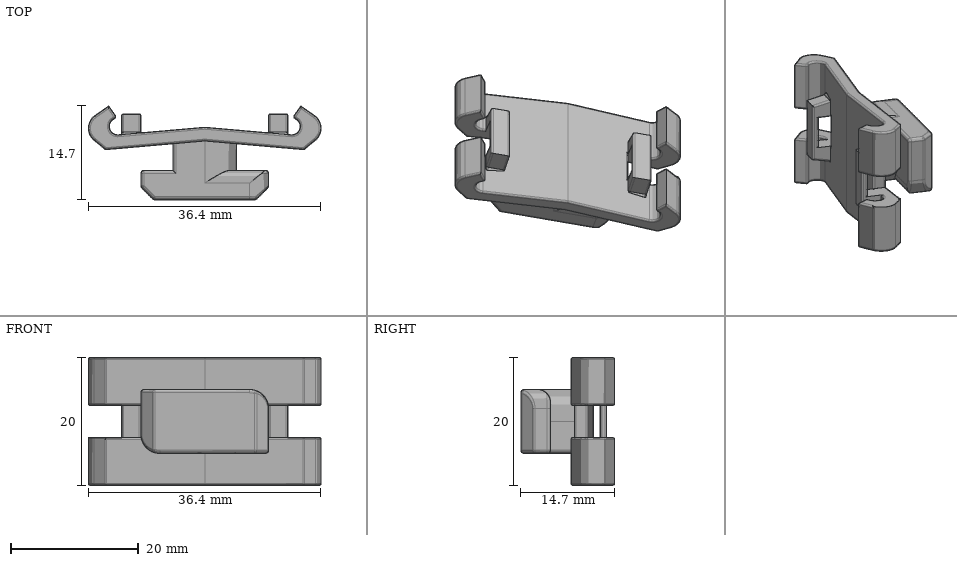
import cadquery as cq
import math

length = 36.4
height = 20.0
strip_front_y = 9.2
strip_back_y = 11.35
strip_angle = 5.0
strip_edge_radius = 0.3

hook_corner_x = -15.5
hook_tip_angle = 35.0
hook_tip_x = -15.05
hook_tip_y = 14.67
hook_tip_width = 2.1
hook_outer_vertex_x = -19.75
hook_cavity_radius = 1.3

slot_half_height = 2.5
slot_inner_x = 10.0
sharp_rim_back_y = 13.03

handle_width = 3.0
handle_back_y = 13.43
handle_thickness = 1.02
handle_half_height = 4.5
handle_slope = 12.0
handle_foot_y = 10.6
handle_edge_radius = 0.3

head_length = 20.0
head_height = 10.0
head_thickness = 4.62
head_bevel = 2.0
head_corner_radius = 3.0
head_back_radius = 2.0
lock_edge_radius = 0.5

head_half_length = head_length / 2
head_half_height = head_height / 2
neck_width = head_height


def slope(angle):
    return math.tan(math.radians(angle))


hook_inner_tip_x = hook_tip_x + hook_tip_width * math.sin(math.radians(hook_tip_angle))
hook_inner_tip_y = hook_tip_y - hook_tip_width * math.cos(math.radians(hook_tip_angle))


def half_strip():
    """The -X half of the strip with its hook, before the edges are rounded."""
    corner_y = strip_front_y + hook_corner_x * slope(strip_angle)
    outer_vertex_y = hook_tip_y + (hook_outer_vertex_x - hook_tip_x) * slope(hook_tip_angle)
    root_x = (hook_inner_tip_y - hook_inner_tip_x * slope(hook_tip_angle) - strip_back_y) / (
        slope(strip_angle) - slope(hook_tip_angle)
    )
    root_y = strip_back_y + root_x * slope(strip_angle)
    outline = [
        (0, strip_front_y),
        (hook_corner_x, corner_y),
        (hook_outer_vertex_x, outer_vertex_y),
        (hook_tip_x, hook_tip_y),
        (hook_inner_tip_x, hook_inner_tip_y),
        (root_x, root_y),
        (0, strip_back_y),
    ]
    body = cq.Workplane("XY").workplane(offset=-height / 2).polyline(outline).close()
    body = body.extrude(height)
    lower_angle = math.atan2(corner_y - outer_vertex_y, hook_corner_x - hook_outer_vertex_x)
    tip_angle = math.radians(hook_tip_angle)
    half_opening = (tip_angle - lower_angle) / 2
    middle_angle = (tip_angle + lower_angle) / 2
    setback_per_radius = math.cos(middle_angle) / math.sin(half_opening) - 1
    outer_radius = (-length / 2 - hook_outer_vertex_x) / setback_per_radius
    outer_bend = cq.NearestToPointSelector((hook_outer_vertex_x, outer_vertex_y, 0))
    cavity_root = cq.NearestToPointSelector((root_x, root_y, 0))
    body = body.edges(outer_bend).fillet(outer_radius)
    return body.edges(cavity_root).fillet(hook_cavity_radius)


def box(x_range, y_range, z_range):
    size = [high - low for low, high in (x_range, y_range, z_range)]
    corner = cq.Vector(x_range[0], y_range[0], z_range[0])
    return cq.Workplane("XY").box(*size, centered=False).translate(corner)


position_tolerance = 0.001


def near(a, b):
    return math.isclose(a, b, abs_tol=position_tolerance)


def is_rounded_strip_edge(edge):
    """Rims of the level faces, and the upright edges at the hook and the opening."""
    center = edge.Center()
    if near(edge.tangentAt(0).z, 0):
        return not near(center.x, 0) and not near(center.x, -slot_inner_x)
    upright_places = (-slot_inner_x, hook_corner_x, hook_inner_tip_x)
    return any(near(center.x, place) for place in upright_places)


def make_strip():
    opening = box(
        (hook_outer_vertex_x, -slot_inner_x),
        (0, hook_tip_y),
        (-slot_half_height, slot_half_height),
    )
    sharp_half = half_strip().cut(opening)
    rounded_edges = [edge for edge in sharp_half.edges().vals() if is_rounded_strip_edge(edge)]
    half = sharp_half.newObject(rounded_edges).fillet(strip_edge_radius)
    strip = half.union(half.mirror("YZ"))
    sharp_rim = sharp_half.intersect(
        box(
            (hook_outer_vertex_x, hook_corner_x),
            (0, sharp_rim_back_y),
            (-slot_half_height - strip_edge_radius, -slot_half_height),
        )
    )
    return strip.union(sharp_rim)


def make_handle():
    """Bracket on the -X side, sunk into the strip above and below the opening."""
    front_y = handle_back_y - handle_thickness
    buried_y = strip_front_y
    foot_height = handle_half_height + (handle_back_y - handle_foot_y) * slope(handle_slope)
    buried_height = foot_height + handle_foot_y - buried_y
    profile = [
        (buried_y, buried_height),
        (handle_foot_y, foot_height),
        (handle_back_y, handle_half_height),
        (handle_back_y, -handle_half_height),
        (handle_foot_y, -foot_height),
        (buried_y, -buried_height),
    ]
    outer_x = -slot_inner_x - handle_width
    handle = cq.Workplane("YZ").workplane(offset=outer_x).polyline(profile).close()
    handle = handle.extrude(handle_width)
    handle = handle.faces("<X or >X").edges("not <Y").fillet(handle_edge_radius)
    window = box(
        (outer_x, -slot_inner_x), (0, front_y), (-slot_half_height, slot_half_height)
    )
    handle = handle.cut(window)
    for edge_x in (outer_x, -slot_inner_x):
        edge = cq.NearestToPointSelector((edge_x, front_y, 0))
        handle = handle.edges(edge).fillet(handle_edge_radius)
    return handle


def half_head():
    """The -X half of the head: its lower corner and lower back edge are rounded off."""
    outline = [
        (0, 0),
        (head_bevel - head_half_length, 0),
        (-head_half_length, head_bevel),
        (-head_half_length, head_thickness),
        (0, head_thickness),
    ]
    head = cq.Workplane("XY").workplane(offset=-head_half_height).polyline(outline).close()
    head = head.extrude(head_height)
    corner_mask = (
        cq.Workplane("XZ")
        .rect(head_length, head_height)
        .extrude(-head_thickness)
        .edges("|Y and <X and <Z")
        .fillet(head_corner_radius)
    )
    head = head.intersect(corner_mask)
    rounded = [edge for edge in head.edges().vals() if not near(edge.Center().x, 0)]
    head = head.newObject(rounded).fillet(lock_edge_radius)
    back_mask = box(
        (-head_half_length, 0), (0, head_thickness), (-head_half_height, head_half_height)
    )
    back_mask = back_mask.edges(">Y and <Z").fillet(head_back_radius)
    return head.intersect(back_mask)


def make_neck():
    start_y = head_bevel
    end_y = (strip_front_y + strip_back_y) / 2
    neck = cq.Workplane("XZ", origin=(0, start_y, 0))
    neck = neck.rect(neck_width, neck_width).extrude(start_y - end_y)
    for corner, radius in (
        ("<X and <Z", neck_width / 2),
        (">X and >Z", neck_width / 2),
        ("<X and >Z", lock_edge_radius),
        (">X and <Z", lock_edge_radius),
    ):
        neck = neck.edges("|Y").edges(corner).fillet(radius)
    return neck


def make_lock():
    half = half_head()
    other_half = half.rotate((0, 0, 0), (0, 1, 0), 180)
    return half.union(other_half).union(make_neck())


handle = make_handle()
result = make_strip().union(handle).union(handle.mirror("YZ")).union(make_lock())